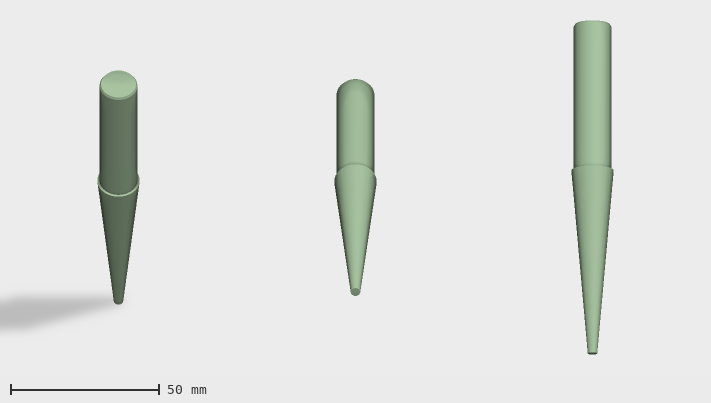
import cadquery as cq

total_length = 114.3
taper_length = 63.5
shank_length = total_length - taper_length

shank_diameter = 12.7
taper_large_diameter = 14.3
taper_tip_diameter = 3.2

shank_chamfer_height = 0.8
shank_chamfer_width = 0.5


def make_taper():
    """Cone frustum widening from the tip up to the shoulder under the shank."""
    return (
        cq.Workplane("XY")
        .circle(taper_tip_diameter / 2)
        .workplane(offset=taper_length)
        .circle(taper_large_diameter / 2)
        .loft(ruled=True)
    )


def make_shank():
    """Round shank standing on the wide end of the taper, chamfered at the top."""
    return (
        cq.Workplane("XY")
        .workplane(offset=taper_length)
        .circle(shank_diameter / 2)
        .extrude(shank_length)
        .faces(">Z")
        .chamfer(shank_chamfer_height, shank_chamfer_width)
    )


taper = make_taper()
shank = make_shank()

result = cq.Compound.makeCompound([taper.val(), shank.val()])